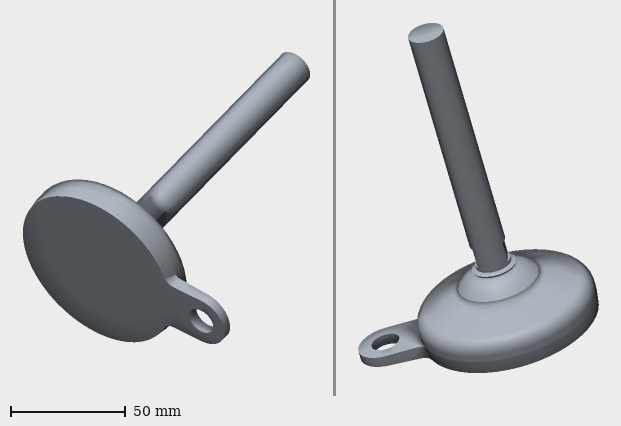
import cadquery as cq
import math

total_height = 151.5

rim_radius = 40.0
sole_radius = 39.2
taper_height = 6.2
band_height = 9.2
cone_angle = math.radians(20)
shoulder_radius = 7.0
dome_radius = 23.2
dome_centre_height = 9.0
dome_top_height = 30.0
dome_foot_radius = 18.2
blend_outer_radius = 19.5

lug_tip = 68.0
lug_radius = 12.4
lug_hole_radius = 6.4
lug_root_fillet = 5.5
lug_root_height = 5.9
lug_tip_height = 4.2

stem_radius = 8.0
collar_radius = 10.0
collar_base_radius = 9.4
collar_rim_height = 31.0
collar_top_height = 32.0
flat_half_width = 6.7
flat_bottom_height = 33.5
flat_top_height = 43.0


def dome_height_at(radius):
    return dome_centre_height + math.sqrt(dome_radius**2 - radius**2)


def make_foot_body():
    """Revolve the domed foot about the Y axis."""
    def shoulder_point(angle):
        return (rim_radius - shoulder_radius * (1 - math.cos(angle)),
                band_height + shoulder_radius * math.sin(angle))

    shoulder_end_angle = math.pi / 2 - cone_angle
    shoulder_end = shoulder_point(shoulder_end_angle)
    cone_top_height = shoulder_end[1] + (shoulder_end[0] - blend_outer_radius) * math.tan(cone_angle)
    dome_top_radius = math.sqrt(dome_radius**2 - (dome_top_height - dome_centre_height)**2)
    dome_middle_radius = (dome_foot_radius + dome_top_radius) / 2
    return (
        cq.Workplane("XY")
        .lineTo(sole_radius, 0)
        .lineTo(rim_radius, taper_height)
        .lineTo(rim_radius, band_height)
        .threePointArc(shoulder_point(shoulder_end_angle / 2), shoulder_end)
        .lineTo(blend_outer_radius, cone_top_height)
        .tangentArcPoint((dome_foot_radius, dome_height_at(dome_foot_radius)), relative=False)
        .threePointArc((dome_middle_radius, dome_height_at(dome_middle_radius)),
                       (dome_top_radius, dome_top_height))
        .lineTo(0, dome_top_height)
        .close()
        .revolve(360, (0, 0, 0), (0, 1, 0))
    )


def make_lug():
    """Make the eyelet lug, with rounded root corners and a top that slopes down to its tip."""
    eye_x = lug_tip - lug_radius
    fillet_z = lug_radius + lug_root_fillet
    fillet_reach = sole_radius + lug_root_fillet
    fillet_x = math.sqrt(fillet_reach**2 - fillet_z**2)
    root_x = fillet_x * sole_radius / fillet_reach
    root_z = fillet_z * sole_radius / fillet_reach
    middle_angle = (-math.pi / 2 + math.atan2(fillet_z, fillet_x) - math.pi) / 2
    middle_x = fillet_x + lug_root_fillet * math.cos(middle_angle)
    middle_z = fillet_z + lug_root_fillet * math.sin(middle_angle)
    plate = (
        cq.Workplane("XZ")
        .lineTo(root_x, root_z)
        .threePointArc((middle_x, middle_z), (fillet_x, lug_radius))
        .lineTo(eye_x, lug_radius)
        .threePointArc((lug_tip, 0), (eye_x, -lug_radius))
        .lineTo(fillet_x, -lug_radius)
        .threePointArc((middle_x, -middle_z), (root_x, -root_z))
        .close()
        .extrude(-lug_root_height)
    )
    sloped_side = (
        cq.Workplane("XY")
        .lineTo(lug_tip, 0)
        .lineTo(lug_tip, lug_tip_height)
        .lineTo(sole_radius, lug_root_height)
        .lineTo(0, lug_root_height)
        .close()
        .extrude(rim_radius, both=True)
    )
    eye = cq.Workplane("XZ").center(eye_x, 0).circle(lug_hole_radius).extrude(-lug_root_height)
    return plate.intersect(sloped_side).cut(eye)


def make_foot():
    return make_foot_body().union(make_lug())


def make_stem():
    """Make the round stem with its collar and two opposite wrench flats."""
    stem = (
        cq.Workplane("XY")
        .moveTo(0, dome_top_height)
        .lineTo(collar_base_radius, dome_top_height)
        .lineTo(collar_radius, collar_rim_height)
        .lineTo(stem_radius, collar_top_height)
        .lineTo(stem_radius, total_height)
        .lineTo(0, total_height)
        .close()
        .revolve(360, (0, 0, 0), (0, 1, 0))
    )
    flat_depth = stem_radius - flat_half_width
    flat_centre_height = (flat_bottom_height + flat_top_height) / 2
    for side in (-1, 1):
        flat_cut = cq.Workplane("XY").box(
            2 * flat_depth, flat_top_height - flat_bottom_height, 2 * stem_radius
        )
        stem = stem.cut(flat_cut.translate((side * stem_radius, flat_centre_height, 0)))
    return stem


foot = make_foot()
stem = make_stem()
result = cq.Compound.makeCompound([foot.val(), stem.val()])